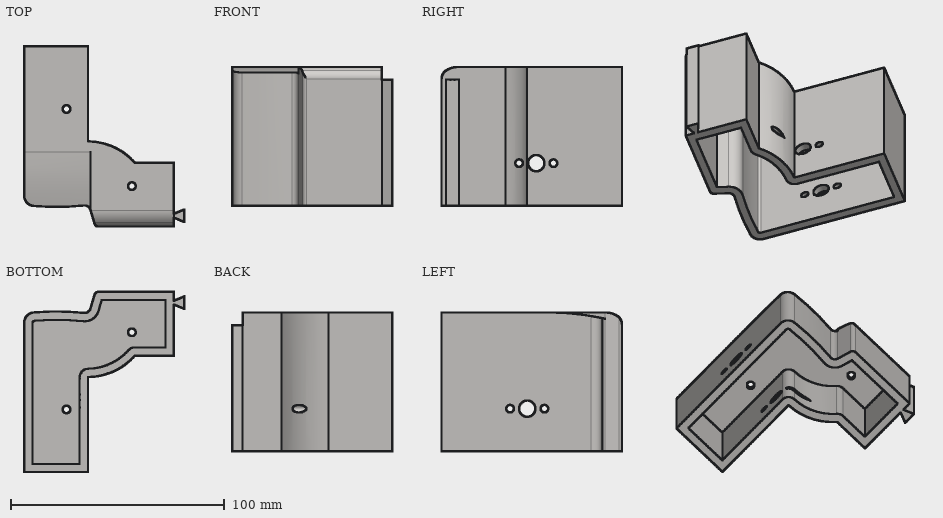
import cadquery as cq
import math

height = 65.0
wall = 4.0
body_length_x = 70.0
body_length_y = 84.5
long_arm_width = 30.0
short_arm_width = 30.0

web_start_y = 40.0
web_end_x = 51.9
web_radius = 30.0

bulge_end_y = 10.1
bulge_depth = 0.9
step_inner_x = 30.3
step_outer_x = 33.4
outer_corner_radius = 5.0
step_inner_radius = 2.66
step_outer_radius = 2.0

front_upper_radius = 9.4
front_lower_radius = 4.8
front_upper_angle = math.radians(36)

sweep_start_y = 35.0
sweep_radius = 125.0
sweep_width = 31.0

rail_depth = 5.0
rail_center_y = 5.15
rail_neck_width = 1.9
rail_tip_width = 6.0
rail_height = 59.1

screw_diameter = 3.5
bore_diameter = 7.5
bore_y = 44.3
bore_z = 20.0
screw_spacing = 8.0
vertical_holes = [(19.85, 55.1), (50.4, 19.0)]


def arc_middle(start, end, radius):
    """Middle of the minor arc that bulges to the left of the direction start to end."""
    dx = end[0] - start[0]
    dy = end[1] - start[1]
    chord = math.hypot(dx, dy)
    rise = radius - math.sqrt(radius**2 - (chord / 2) ** 2)
    return (
        (start[0] + end[0]) / 2 - rise * dy / chord,
        (start[1] + end[1]) / 2 + rise * dx / chord,
    )


def make_body():
    web_start = (long_arm_width, web_start_y)
    web_end = (web_end_x, short_arm_width)
    body = (
        cq.Workplane("XY")
        .moveTo(0, bulge_end_y)
        .threePointArc(
            (step_inner_x / 2, bulge_end_y - bulge_depth), (step_inner_x, bulge_end_y)
        )
        .lineTo(step_outer_x, 0)
        .lineTo(body_length_x, 0)
        .lineTo(body_length_x, short_arm_width)
        .lineTo(*web_end)
        .threePointArc(arc_middle(web_start, web_end, web_radius), web_start)
        .lineTo(long_arm_width, body_length_y)
        .lineTo(0, body_length_y)
        .close()
        .extrude(height)
    )
    corners = [
        (0, bulge_end_y, outer_corner_radius),
        (step_inner_x, bulge_end_y, step_inner_radius),
        (step_outer_x, 0, step_outer_radius),
    ]
    for x, y, radius in corners:
        edge = cq.selectors.NearestToPointSelector((x, y, height / 2))
        body = body.edges("|Z").edges(edge).fillet(radius)
    return body


def cavity_cutter(body):
    """Hollow following the outline at one wall thickness, leaving a roof of the same thickness."""
    outline = body.faces("<Z").val().outerWire()
    inner_outline = outline.offset2D(-wall)[0]
    return cq.Workplane("XY").add(inner_outline).toPending().extrude(height - wall)


def front_rounding_cutter():
    """Waste above two tangent arcs: the upper meets the top, the lower meets the front."""
    sine = math.sin(front_upper_angle)
    cosine = math.cos(front_upper_angle)
    joint_y = front_lower_radius * (1 - sine)
    start_y = joint_y + front_upper_radius * sine
    joint_z = height - front_upper_radius * (1 - cosine)
    end_z = joint_z - front_lower_radius * cosine
    half_sine = math.sin(front_upper_angle / 2)
    half_cosine = math.cos(front_upper_angle / 2)
    upper_middle = (
        start_y - front_upper_radius * half_sine,
        height - front_upper_radius * (1 - half_cosine),
    )
    lower_angle = (front_upper_angle + math.pi / 2) / 2
    lower_middle = (
        front_lower_radius * (1 - math.sin(lower_angle)),
        end_z + front_lower_radius * math.cos(lower_angle),
    )
    return (
        cq.Workplane("YZ")
        .moveTo(start_y, height)
        .threePointArc(upper_middle, (joint_y, joint_z))
        .threePointArc(lower_middle, (0, end_z))
        .lineTo(0, height)
        .close()
        .extrude(body_length_x)
    )


def top_sweep_cutter():
    """Waste above a large arc that leaves the top tangentially and falls to the front."""
    def sweep_point(y):
        run = sweep_start_y - y
        return (y, height - sweep_radius + math.sqrt(sweep_radius**2 - run**2))

    return (
        cq.Workplane("YZ")
        .moveTo(sweep_start_y, height)
        .threePointArc(sweep_point(sweep_start_y / 2), sweep_point(0))
        .lineTo(0, height)
        .close()
        .extrude(sweep_width)
    )


def make_rail():
    tip_x = body_length_x + rail_depth
    half_neck = rail_neck_width / 2
    half_tip = rail_tip_width / 2
    return (
        cq.Workplane("XY")
        .polyline(
            [
                (body_length_x, rail_center_y - half_neck),
                (tip_x, rail_center_y - half_tip),
                (tip_x, rail_center_y + half_tip),
                (body_length_x, rail_center_y + half_neck),
            ]
        )
        .close()
        .extrude(rail_height)
    )


def side_hole(y, diameter):
    return cq.Workplane("YZ").center(y, bore_z).circle(diameter / 2).extrude(body_length_x)


body = make_body()
result = body.cut(cavity_cutter(body))
result = result.cut(front_rounding_cutter()).cut(top_sweep_cutter()).union(make_rail())

result = result.cut(side_hole(bore_y, bore_diameter))
for offset in (-screw_spacing, screw_spacing):
    result = result.cut(side_hole(bore_y + offset, screw_diameter))

result = result.cut(
    cq.Workplane("XY").pushPoints(vertical_holes).circle(screw_diameter / 2).extrude(height)
)